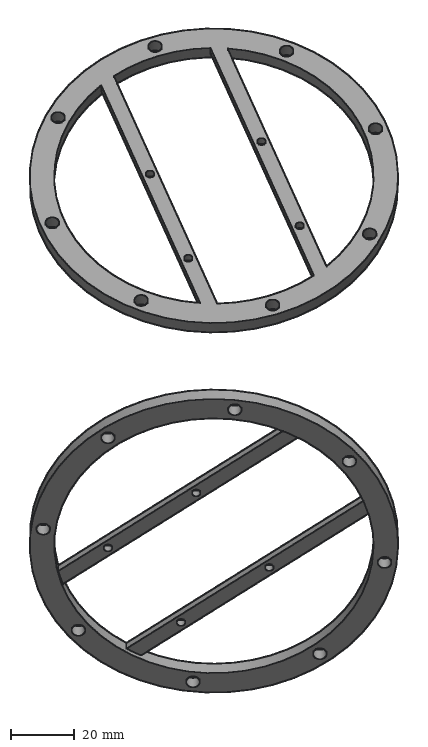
import cadquery as cq

outer_diameter = 115.3
inner_diameter = 100.0
thickness = 5.0

ring_hole_count = 8
ring_hole_diameter = 4.3
ring_hole_circle_radius = (outer_diameter + inner_diameter) / 4

bar_width = 5.0
bar_depth = 3.0
bar_spacing = 37.1
bar_hole_diameter = 2.7
bar_hole_spacing = 35.0
bar_hole_center_x = 10.0


def make_ring():
    ring = cq.Workplane("XY").circle(outer_diameter / 2).circle(inner_diameter / 2).extrude(thickness)
    holes = (
        cq.Workplane("XY")
        .polarArray(ring_hole_circle_radius, 0, 360, ring_hole_count)
        .circle(ring_hole_diameter / 2)
        .extrude(thickness)
    )
    return ring.cut(holes)


def make_bar(center_y):
    """Bar across the full ring, with its ends following the outer circle."""
    bar_bottom = cq.Workplane("XY").workplane(offset=thickness - bar_depth)
    bar = bar_bottom.center(0, center_y).rect(outer_diameter, bar_width).extrude(bar_depth)
    disc = cq.Workplane("XY").circle(outer_diameter / 2).extrude(thickness)
    holes = (
        bar_bottom.center(bar_hole_center_x, center_y)
        .rarray(bar_hole_spacing, 1.2, 2, 1)
        .circle(bar_hole_diameter / 2)
        .extrude(bar_depth)
    )
    return bar.intersect(disc).cut(holes)


result = make_ring()
for center_y in (-bar_spacing / 2, bar_spacing / 2):
    result = result.union(make_bar(center_y))